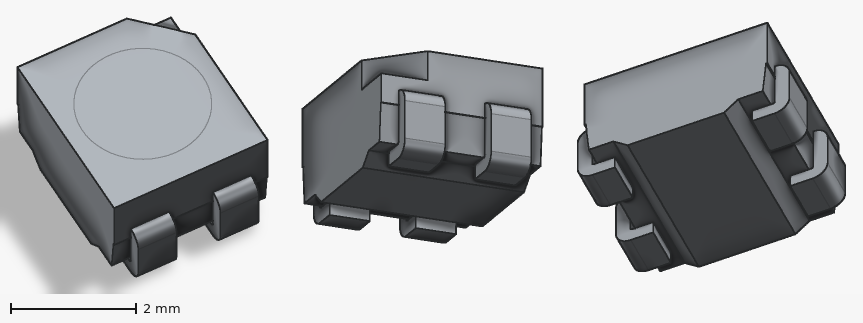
import cadquery as cq
import math

length = 3.7
width = 2.8
height = 1.9

lead_thickness = 0.25
lead_top = 1.15
lead_width = 0.7
lead_spacing = 1.5
foot_length = 0.65
inner_bend_radius = 0.04
outer_bend_radius = 0.26

housing_half = length / 2 - lead_thickness
housing_bottom = 0.05
ledge_height = 0.263
ledge_width = 0.507
keel_half = 0.845
taper_top = 0.91
taper_step = 0.022
taper_angle = 5.0

corner_cut_leg = 0.803
corner_cut_depth = 0.5
lens_diameter = 2.2
lens_depth = 0.5


def make_housing():
    """Stepped profile in XZ, extruded over the full width."""
    step_x = housing_half - taper_step
    taper_run = (taper_top - ledge_height) * math.tan(math.radians(taper_angle))
    right_side = [
        (keel_half, housing_bottom),
        (housing_half - ledge_width, ledge_height),
        (step_x - taper_run, ledge_height),
        (step_x, taper_top),
        (housing_half, taper_top),
        (housing_half, height),
    ]
    left_side = [(-x, z) for x, z in reversed(right_side)]
    profile = cq.Workplane("XZ").polyline(right_side + left_side).close()
    return profile.extrude(width / 2, both=True)


def make_corner_cut():
    """Triangular notch marking the -X, +Y corner of the top."""
    corner_x = -housing_half
    corner_y = width / 2
    return (
        cq.Workplane("XY", origin=(0, 0, height - corner_cut_depth))
        .moveTo(corner_x, corner_y)
        .lineTo(corner_x + corner_cut_leg, corner_y)
        .lineTo(corner_x, corner_y - corner_cut_leg)
        .close()
        .extrude(corner_cut_depth)
    )


def make_lens():
    """Round lens filling, flush with the top of the housing."""
    return (
        cq.Workplane("XY", origin=(0, 0, height - lens_depth))
        .circle(lens_diameter / 2)
        .extrude(lens_depth)
    )


def make_lead(center_y):
    """L-shaped lead on the -X side, with its foot turned in under the housing."""
    outer_x = -length / 2
    inner_x = -housing_half
    foot_end = outer_x + foot_length
    return (
        cq.Workplane("XZ", origin=(0, center_y, 0))
        .moveTo(foot_end, 0)
        .lineTo(outer_x + outer_bend_radius, 0)
        .radiusArc((outer_x, outer_bend_radius), outer_bend_radius)
        .lineTo(outer_x, lead_top - lead_thickness)
        .radiusArc((inner_x, lead_top), lead_thickness)
        .lineTo(inner_x, lead_thickness + inner_bend_radius)
        .radiusArc((inner_x + inner_bend_radius, lead_thickness), -inner_bend_radius)
        .lineTo(foot_end, lead_thickness)
        .close()
        .extrude(lead_width / 2, both=True)
    )


result = make_housing().cut(make_corner_cut())
for center_y in (-lead_spacing / 2, lead_spacing / 2):
    lead = make_lead(center_y)
    result = result.union(lead).union(lead.mirror("YZ"))

lens = make_lens()
result = result.cut(lens).union(lens, clean=False)